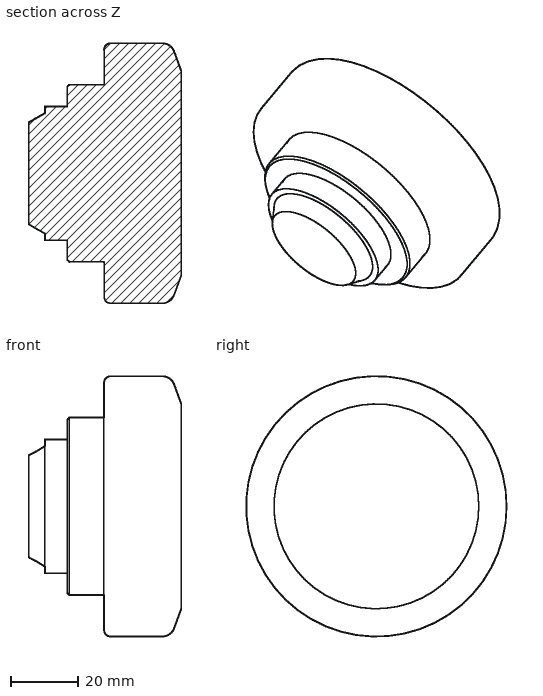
import cadquery as cq
import math

total_length = 45.5

nose_length = 4.8
nose_tip_diameter = 30.45
nose_base_diameter = 36.0

pilot_diameter = 40.0
pilot_length = 6.7
collar_diameter = 53.0
collar_length = 10.95
collar_chamfer = 0.6

disc_diameter = 77.7
front_fillet = 2.0
rear_fillet = 3.9
rear_cone_angle = math.radians(20)
rear_fillet_start = 39.8

pilot_start = nose_length
collar_start = pilot_start + pilot_length
disc_start = collar_start + collar_length

disc_radius = disc_diameter / 2
collar_radius = collar_diameter / 2
pilot_radius = pilot_diameter / 2


def rear_fillet_point(angle):
    """Point on the rear round, with the angle measured from the radial direction."""
    return (
        rear_fillet_start + rear_fillet * math.sin(angle),
        disc_radius - rear_fillet + rear_fillet * math.cos(angle),
    )


rear_sweep = math.pi / 2 - rear_cone_angle
cone_start = rear_fillet_point(rear_sweep)
cone_end_radius = cone_start[1] - (total_length - cone_start[0]) / math.tan(rear_cone_angle)

front_fillet_inset = front_fillet * (1 - math.sqrt(0.5))
front_fillet_middle = (disc_start + front_fillet_inset, disc_radius - front_fillet_inset)

profile = (
    cq.Workplane("XY")
    .moveTo(0, 0)
    .lineTo(0, nose_tip_diameter / 2)
    .lineTo(pilot_start, nose_base_diameter / 2)
    .lineTo(pilot_start, pilot_radius)
    .lineTo(collar_start, pilot_radius)
    .lineTo(collar_start, collar_radius - collar_chamfer)
    .lineTo(collar_start + collar_chamfer, collar_radius)
    .lineTo(disc_start, collar_radius)
    .lineTo(disc_start, disc_radius - front_fillet)
    .threePointArc(front_fillet_middle, (disc_start + front_fillet, disc_radius))
    .lineTo(rear_fillet_start, disc_radius)
    .threePointArc(rear_fillet_point(rear_sweep / 2), cone_start)
    .lineTo(total_length, cone_end_radius)
    .lineTo(total_length, 0)
    .close()
)

result = profile.revolve(360, (0, 0, 0), (1, 0, 0))